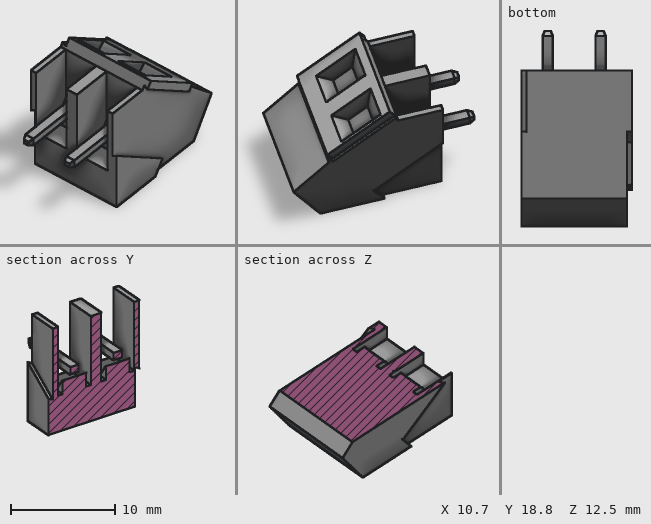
import cadquery as cq
import math


pole_count = 2
pitch = 5.08
row_width = pole_count * pitch

slope_angle = math.radians(35)
housing_depth = 15.0
housing_height = 12.5
shoulder_height = 11.5
base_depth = 12.3
back_corner_z = 4.25
top_edge_y = 5.2
plate_length = 7.65
back_step_z = 7.55

dovetail_depth = 0.5
dovetail_undercut = 0.2
dovetail_clearance = 0.2
upper_rail_height = 0.7
lower_rail_front_z = 6.45
lower_rail_length = 8.5

pin_pocket_width = 3.8
pin_pocket_floor_z = 4.0
ramp_width = 2.8
ramp_top_z = 6.95

pin_width = 1.0
pin_height = 0.85
pin_center_z = 6.25
pin_length = 3.8
pin_tip_length = 0.5
pin_tip_inset = 0.2

funnel_width = 3.35
funnel_floor_width = 2.8
funnel_length = 4.8
funnel_floor_length = 2.37
funnel_depth = 1.65
funnel_center = 3.4
funnel_floor_shift = 0.4

down_slope = (math.cos(slope_angle), -math.sin(slope_angle))
inward = (-math.sin(slope_angle), -math.cos(slope_angle))

top_edge = (top_edge_y, housing_height)
pocket_depth = top_edge_y - (housing_height - shoulder_height) * math.tan(slope_angle)


def offset(point, along=0.0, depth=0.0):
    """Move a (y, z) point along the slope and into the housing."""
    return (
        point[0] + along * down_slope[0] + depth * inward[0],
        point[1] + along * down_slope[1] + depth * inward[1],
    )


def prism(points, x_start, width):
    """Extrude a closed (y, z) outline along +X."""
    return cq.Workplane("YZ").workplane(offset=x_start).polyline(points).close().extrude(width)


def make_housing():
    plate_end = offset(top_edge, along=plate_length)
    outline = [
        (0, 0),
        (base_depth, 0),
        (housing_depth, back_corner_z),
        (plate_end[0], back_step_z),
        plate_end,
        top_edge,
        (pocket_depth, shoulder_height),
        (0, shoulder_height),
    ]
    return prism(outline, 0, row_width)


def upper_rail_outline(undercut):
    height = upper_rail_height + undercut
    return [
        top_edge,
        offset(top_edge, along=plate_length),
        offset(top_edge, along=plate_length, depth=height),
        offset(top_edge, depth=height),
    ]


def lower_rail_outline(undercut):
    front = (0, lower_rail_front_z + undercut / math.cos(slope_angle))
    corner = offset(front, along=lower_rail_length + undercut * math.tan(slope_angle))
    base_end = corner[0] - corner[1] * math.tan(slope_angle)
    return [(0, 0), (base_end, 0), corner, front]


def dovetail_side(outline, x_start, undercut_start):
    """Rail beside the dovetail, growing taller by the undercut over its depth."""
    return (
        cq.Workplane("YZ")
        .workplane(offset=x_start)
        .polyline(outline(undercut_start))
        .close()
        .workplane(offset=dovetail_depth)
        .polyline(outline(undercut_start + dovetail_undercut))
        .close()
        .loft(ruled=True, combine=True)
    )


def make_pin_pocket(x_center):
    return cq.Workplane("XY").box(
        pin_pocket_width,
        pocket_depth,
        shoulder_height - pin_pocket_floor_z,
        centered=(True, False, False),
    ).translate((x_center, 0, pin_pocket_floor_z))


def make_ramp(x_center):
    ramp_height = ramp_top_z - pin_pocket_floor_z
    outline = [
        (pocket_depth, pin_pocket_floor_z),
        (pocket_depth, ramp_top_z),
        (pocket_depth - ramp_height * math.tan(slope_angle), pin_pocket_floor_z),
    ]
    return prism(outline, x_center - ramp_width / 2, ramp_width)


def make_pin(x_center):
    shank_length = pin_length - pin_tip_length
    shank = (
        cq.Workplane("XZ", origin=(x_center, pocket_depth, pin_center_z))
        .rect(pin_width, pin_height)
        .extrude(pocket_depth + shank_length)
    )
    tip = (
        cq.Workplane("XZ", origin=(x_center, -shank_length, pin_center_z))
        .rect(pin_width, pin_height)
        .workplane(offset=pin_tip_length)
        .rect(pin_width - 2 * pin_tip_inset, pin_height - 2 * pin_tip_inset)
        .loft(combine=True)
    )
    return shank.union(tip)


def make_funnel(x_center):
    center = offset(top_edge, along=funnel_center)
    plane = cq.Plane(
        origin=(x_center, center[0], center[1]),
        xDir=(1, 0, 0),
        normal=(0, inward[0], inward[1]),
    )
    return (
        cq.Workplane(plane)
        .rect(funnel_width, funnel_length)
        .workplane(offset=funnel_depth)
        .center(0, -funnel_floor_shift)
        .rect(funnel_floor_width, funnel_floor_length)
        .loft(combine=True)
    )


result = make_housing()

for outline, clearance in ((upper_rail_outline, 0.0), (lower_rail_outline, dovetail_clearance)):
    result = result.cut(dovetail_side(outline, 0, 0.0))
    result = result.union(dovetail_side(outline, row_width, -clearance))

for pole in range(pole_count):
    pole_x = (pole + 0.5) * pitch
    result = result.cut(make_pin_pocket(pole_x))
    result = result.union(make_ramp(pole_x))
    result = result.union(make_pin(pole_x))
    result = result.cut(make_funnel(pole_x))